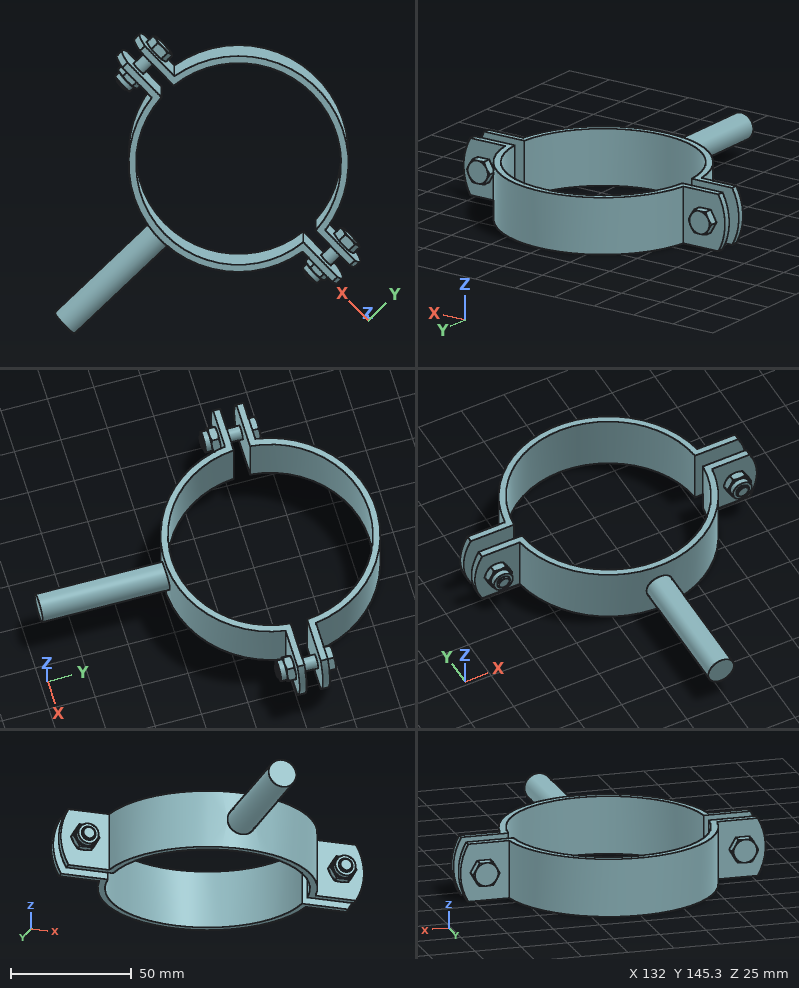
import cadquery as cq
import math

total_length = 145.3
band_width = 25.0
band_thickness = 3.0
outer_radius = 45.5
inner_radius = outer_radius - band_thickness

ear_gap = 7.0
ear_inner_y = ear_gap / 2
ear_outer_y = ear_inner_y + band_thickness
ear_tip_x = 132.0 / 2
ear_tip_bulge = 3.3

rod_diameter = 12.0
rod_end_y = outer_radius - total_length

bolt_x = 56.0
bolt_diameter = 6.0
bolt_tip_diameter = 5.0
bolt_tip_chamfer_length = 0.6
bolt_protrusion = 7.1
hex_across_flats = 10.0
hex_across_corners = hex_across_flats / math.cos(math.pi / 6)
hex_chamfer_depth = 0.5
head_height = 4.0
nut_hex_height = 3.6
nut_collar_diameter = 8.9
nut_height = 6.2


def cylinder_y(x, start_y, length, diameter):
    """Cylinder that starts at start_y and runs toward -Y."""
    return cq.Workplane("XZ", origin=(x, start_y, 0)).circle(diameter / 2).extrude(length)


def make_plain_half():
    """Half band with two round-ended ears, on the -Y side."""
    outside = cq.Workplane("XY").circle(outer_radius).extrude(band_width / 2, both=True)
    inside = cq.Workplane("XY").circle(inner_radius).extrude(band_width / 2, both=True)

    half_width = band_width / 2
    corner_x = ear_tip_x - ear_tip_bulge
    ears = (
        cq.Workplane("XZ", origin=(0, -ear_inner_y, 0))
        .moveTo(-corner_x, -half_width)
        .lineTo(corner_x, -half_width)
        .threePointArc((ear_tip_x, 0), (corner_x, half_width))
        .lineTo(-corner_x, half_width)
        .threePointArc((-ear_tip_x, 0), (-corner_x, -half_width))
        .close()
        .extrude(band_thickness)
    )

    beyond_split = cq.Workplane("XY").box(
        2 * ear_tip_x, 2 * outer_radius, band_width, centered=(True, False, True)
    ).translate((0, -ear_inner_y, 0))
    half = outside.union(ears).cut(inside).cut(beyond_split)

    for x in (-bolt_x, bolt_x):
        half = half.cut(cylinder_y(x, -ear_inner_y, band_thickness, bolt_diameter))
    return half


def make_rear_half():
    return make_plain_half().mirror("XZ")


def make_rod_half():
    """Half band with the mounting rod joined to its outer surface."""
    rod_start_y = -(inner_radius + outer_radius) / 2
    rod = cylinder_y(0, rod_start_y, rod_start_y - rod_end_y, rod_diameter)
    return make_plain_half().union(rod)


def chamfered_hex(x, start_y, height, chamfer_start, chamfer_end):
    """Hexagonal prism toward -Y, with its corners turned off at the chosen ends."""
    prism = cq.Workplane("XZ", origin=(x, start_y, 0)).polygon(6, hex_across_corners).extrude(height)
    turned = cylinder_y(x, start_y, height, hex_across_corners)
    radial_chamfer = (hex_across_corners - hex_across_flats) / 2
    if chamfer_start:
        turned = turned.faces(">Y").chamfer(hex_chamfer_depth, radial_chamfer)
    if chamfer_end:
        turned = turned.faces("<Y").chamfer(hex_chamfer_depth, radial_chamfer)
    return prism.intersect(turned)


def make_bolt(x):
    """Hex-head bolt with its head on the rear ear and a chamfered tip."""
    head = chamfered_hex(x, ear_outer_y + head_height, head_height, True, False)
    shank_length = 2 * ear_outer_y + bolt_protrusion
    radial_chamfer = (bolt_diameter - bolt_tip_diameter) / 2
    shank = (
        cylinder_y(x, ear_outer_y, shank_length, bolt_diameter)
        .faces("<Y")
        .chamfer(bolt_tip_chamfer_length, radial_chamfer)
    )
    return head.union(shank)


def make_nut(x):
    """Hex nut with a round locking collar, against the front ear."""
    hexagon = chamfered_hex(x, -ear_outer_y, nut_hex_height, True, True)
    collar = cylinder_y(x, -ear_outer_y, nut_height, nut_collar_diameter)
    bore = cylinder_y(x, -ear_outer_y, nut_height, bolt_diameter)
    return hexagon.union(collar).cut(bore)


rear_half = make_rear_half()
rod_half = make_rod_half()
bolts = [make_bolt(x) for x in (-bolt_x, bolt_x)]
nuts = [make_nut(x) for x in (-bolt_x, bolt_x)]

result = cq.Compound.makeCompound(
    [rear_half.val(), rod_half.val()]
    + [bolt.val() for bolt in bolts]
    + [nut.val() for nut in nuts]
)